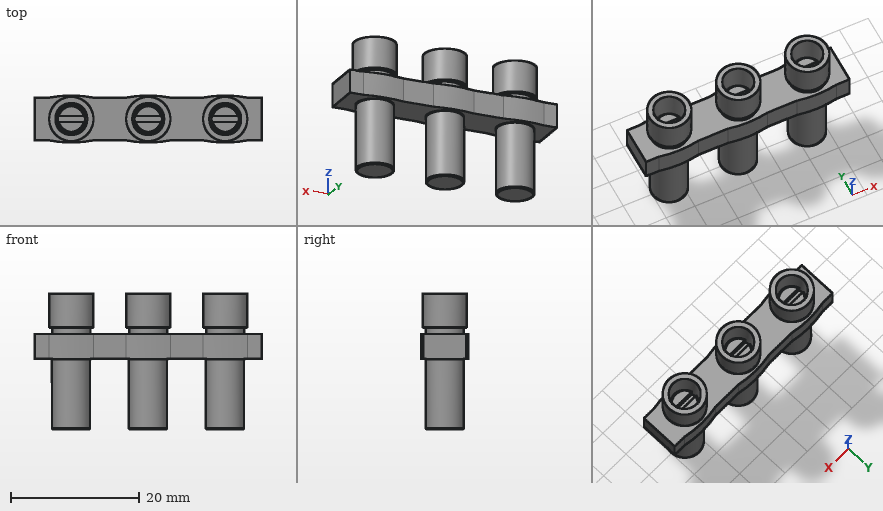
import cadquery as cq

BAR_LENGTH = 35.4
BAR_WIDTH = 6.7
BAR_HEIGHT = 3.9
BULGE_WIDTH = 7.38

SLEEVE_COUNT = 3
PITCH = 12.0
HEAD_DIAMETER = 6.9
NECK_DIAMETER = 6.0
STEM_DIAMETER = 6.0
STEM_OFFSET_X = -0.05
HEAD_CHAMFER = 0.2
STEM_CHAMFER = 0.2

TOTAL_HEIGHT = 21.2
BAR_BOTTOM = 11.0
BAR_TOP = BAR_BOTTOM + BAR_HEIGHT
NECK_HEIGHT = 0.9
NECK_PROJECTION = 0.1
HEAD_BOTTOM = BAR_TOP + NECK_HEIGHT
STEM_TOP = BAR_BOTTOM - NECK_PROJECTION

BORE_TOP_DIAMETER = 5.0
BORE_FLOOR_DIAMETER = 4.25
BORE_DEPTH = 5.0
BORE_FLOOR = TOTAL_HEIGHT - BORE_DEPTH
SCREW_DIAMETER = 4.4
SCREW_CHAMFER = 0.2
SLOT_WIDTH = 0.9
SLOT_DEPTH = 1.0
SCREW_TOP = BORE_FLOOR + SLOT_DEPTH

FIRST_SLEEVE_X = -PITCH * (SLEEVE_COUNT - 1) / 2
SLEEVE_POSITIONS = [FIRST_SLEEVE_X + i * PITCH for i in range(SLEEVE_COUNT)]


def make_bar():
    """Flat bar whose long sides bulge in a shallow arc beside each sleeve."""
    half_length = BAR_LENGTH / 2
    half_width = BAR_WIDTH / 2
    half_bulge = BULGE_WIDTH / 2
    half_chord = HEAD_DIAMETER / 2
    outline = cq.Workplane("XY").workplane(offset=BAR_BOTTOM).moveTo(-half_length, -half_width)
    for x in SLEEVE_POSITIONS:
        outline = outline.lineTo(x - half_chord, -half_width)
        outline = outline.threePointArc((x, -half_bulge), (x + half_chord, -half_width))
    outline = outline.lineTo(half_length, -half_width).lineTo(half_length, half_width)
    for x in reversed(SLEEVE_POSITIONS):
        outline = outline.lineTo(x + half_chord, half_width)
        outline = outline.threePointArc((x, half_bulge), (x - half_chord, half_width))
    return outline.lineTo(-half_length, half_width).close().extrude(BAR_HEIGHT)


def cylinder(diameter, bottom, top):
    """Upright cylinder on the Z axis between two heights."""
    return cq.Workplane("XY").workplane(offset=bottom).circle(diameter / 2).extrude(top - bottom)


def make_bore():
    """Bore that narrows from the mouth down to its floor."""
    floor_centre = cq.Vector(0, 0, BORE_FLOOR)
    cone = cq.Solid.makeCone(BORE_FLOOR_DIAMETER / 2, BORE_TOP_DIAMETER / 2, BORE_DEPTH, floor_centre)
    return cq.Workplane(cone)


def make_screw():
    """Chamfered screw head with a straight slot along X, standing on the bore floor."""
    screw = cylinder(SCREW_DIAMETER, BORE_FLOOR, SCREW_TOP).faces(">Z").chamfer(SCREW_CHAMFER)
    slot = cq.Workplane("XY").workplane(offset=BORE_FLOOR).rect(SCREW_DIAMETER, SLOT_WIDTH).extrude(SLOT_DEPTH)
    return screw.cut(slot)


def make_sleeve():
    """Bored head on a neck that passes through the bar, with a slightly offset solid stem below."""
    head = cylinder(HEAD_DIAMETER, HEAD_BOTTOM, TOTAL_HEIGHT).faces("<Z").chamfer(HEAD_CHAMFER)
    neck = cylinder(NECK_DIAMETER, STEM_TOP, HEAD_BOTTOM)
    stem = cylinder(STEM_DIAMETER, 0, STEM_TOP).faces("<Z").chamfer(STEM_CHAMFER)
    stem = stem.translate((STEM_OFFSET_X, 0, 0))
    return head.union(neck).union(stem).cut(make_bore()).union(make_screw())


sleeve = make_sleeve()
result = make_bar()
for sleeve_x in SLEEVE_POSITIONS:
    result = result.union(sleeve.translate((sleeve_x, 0, 0)))